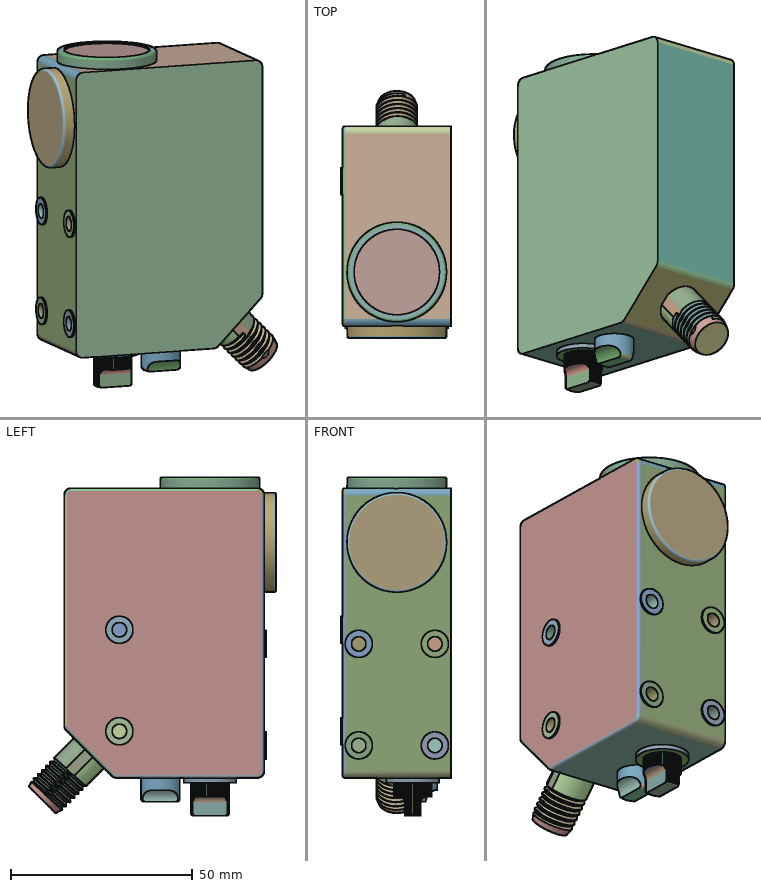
import cadquery as cq
WIDTH = 30.0
DEPTH = 55.25
HEIGHT = 80.0
REAR_CHAMFER = 13.7
PROFILE_FILLET = 2.0
SIDE_FILLET = 0.8

CAP_DIAMETER = 27.5
LENS_BARREL_HEIGHT = 3.0
COVER_CAP_HEIGHT = 3.25
CAP_FILLET = 0.65
CAP_SETBACK = 15.0
LENS_DIAMETER = 23.6
LENS_RECESS = 0.4

INSERT_DIAMETER = 7.5
INSERT_BORE = 4.0
INSERT_DEPTH = 8.0
INSERT_PROUD = 0.45
INSERT_ROW_PITCH = 28.0
FRONT_INSERT_PITCH = 21.0
FRONT_INSERT_BASE = 9.0
SIDE_INSERT_Y = 40.0
SIDE_INSERT_BASE = 12.9

CONNECTOR_DIAMETER = 11.8
CONNECTOR_LENGTH = 18.2
CONNECTOR_FLATS = 11.4
THREAD_START = 7.2
THREAD_LENGTH = 9.3
THREAD_PITCH = 1.6
THREAD_DEPTH = 0.75
THREAD_CREST = 0.25
TIP_DIAMETER = 10.5
TIP_TAPER = 2.2

SELECTOR_X = 5.8
SELECTOR_Y = 28.7
SELECTOR_DIAMETER = 10.8
SELECTOR_DRUM = 3.3
SELECTOR_HEIGHT = 6.6
SELECTOR_FILLET = 1.0
SELECTOR_GRIP = 4.4

KNOB_X = 4.4
KNOB_Y = 15.0
KNOB_DIAMETER = 10.6
KNOB_DRUM = 5.1
KNOB_HEIGHT = 10.42
KNOB_FILLET = 0.8
KNOB_GRIP = 4.4
KNOB_GRIP_RADIUS = 1.7
FLANGE_DIAMETER = 14.6
FLANGE_HEIGHT = 1.3
KNURL_COUNT = 36
KNURL_DEPTH = 0.2
KNURL_WIDTH = 0.46


def mounted(shape, origin, normal):
    """Move a shape built upwards from the XY plane so that its +Z axis follows the normal."""
    plane = cq.Plane(origin=origin, xDir=(1, 0, 0) if normal[0] == 0 else (0, 1, 0), normal=normal)
    return shape.val().moved(cq.Location(plane))


def make_round_cap(height):
    """Disc that starts inside the housing, so that it also fills the space over a rounded edge."""
    return (
        cq.Workplane("XY", origin=(0, 0, -PROFILE_FILLET))
        .circle(CAP_DIAMETER / 2)
        .extrude(PROFILE_FILLET + height)
        .faces(">Z")
        .edges()
        .fillet(CAP_FILLET)
    )


def insert_mounts():
    """Mouth centre and outward direction of every insert."""
    mounts = []
    for row in range(2):
        rise = row * INSERT_ROW_PITCH
        for side in (-1, 1):
            mounts.append(((side * FRONT_INSERT_PITCH / 2, 0, FRONT_INSERT_BASE + rise), (0, -1, 0)))
        mounts.append(((-WIDTH / 2, SIDE_INSERT_Y, SIDE_INSERT_BASE + rise), (-1, 0, 0)))
    return mounts


def make_housing():
    body = (
        cq.Workplane("YZ", origin=(-WIDTH / 2, 0, 0))
        .moveTo(0, 0)
        .lineTo(DEPTH - REAR_CHAMFER, 0)
        .lineTo(DEPTH, REAR_CHAMFER)
        .lineTo(DEPTH, HEIGHT)
        .lineTo(0, HEIGHT)
        .close()
        .extrude(WIDTH)
        .edges("|X")
        .fillet(PROFILE_FILLET)
        .faces("<X")
        .edges()
        .fillet(SIDE_FILLET)
    )
    lens_barrel = (
        make_round_cap(LENS_BARREL_HEIGHT)
        .faces(">Z")
        .workplane(origin=(0, 0, 0))
        .circle(LENS_DIAMETER / 2)
        .cutBlind(-LENS_RECESS)
    )
    cover_cap = make_round_cap(COVER_CAP_HEIGHT)
    body = body.union(mounted(lens_barrel, (0, CAP_SETBACK, HEIGHT), (0, 0, 1)))
    body = body.union(mounted(cover_cap, (0, 0, HEIGHT - CAP_SETBACK), (0, -1, 0)))
    pocket = cq.Workplane("XY").circle(INSERT_DIAMETER / 2).extrude(-INSERT_DEPTH)
    for origin, normal in insert_mounts():
        body = body.cut(mounted(pocket, origin, normal))
    return body


def make_insert(origin, normal):
    sleeve = (
        cq.Workplane("XY", origin=(0, 0, -INSERT_DEPTH))
        .circle(INSERT_DIAMETER / 2)
        .circle(INSERT_BORE / 2)
        .extrude(INSERT_DEPTH + INSERT_PROUD)
    )
    return mounted(sleeve, origin, normal)


def make_thread_groove():
    """Helical V-shaped cutter that runs from the plain neck almost to the tip."""
    radius = CONNECTOR_DIAMETER / 2
    half_mouth = (THREAD_PITCH - THREAD_CREST) / 2
    slope = half_mouth / THREAD_DEPTH
    clearance = 0.05
    helix = cq.Wire.makeHelix(THREAD_PITCH, THREAD_LENGTH, radius).moved(cq.Location((0, 0, THREAD_START)))
    outer = half_mouth + clearance * slope
    return (
        cq.Workplane("XZ")
        .moveTo(radius - THREAD_DEPTH, THREAD_START)
        .lineTo(radius + clearance, THREAD_START - outer)
        .lineTo(radius + clearance, THREAD_START + outer)
        .close()
        .sweep(cq.Workplane(obj=helix), isFrenet=True)
    )


def make_connector():
    radius = CONNECTOR_DIAMETER / 2
    rod = cq.Workplane("XY").circle(radius).extrude(CONNECTOR_LENGTH)
    clearance = 1.0
    taper_slope = (radius - TIP_DIAMETER / 2) / TIP_TAPER
    envelope = (
        cq.Workplane("XZ")
        .lineTo(radius + clearance, 0)
        .lineTo(radius + clearance, CONNECTOR_LENGTH - TIP_TAPER - clearance / taper_slope)
        .lineTo(TIP_DIAMETER / 2, CONNECTOR_LENGTH)
        .lineTo(0, CONNECTOR_LENGTH)
        .close()
        .revolve(360, (0, 0, 0), (0, 1, 0))
        .intersect(cq.Workplane("XY").box(CONNECTOR_FLATS, 2 * CONNECTOR_DIAMETER, 3 * CONNECTOR_LENGTH))
    )
    plug = rod.cut(make_thread_groove()).intersect(envelope)
    chamfer_middle = (0, DEPTH - REAR_CHAMFER / 2, REAR_CHAMFER / 2)
    return mounted(plug, chamfer_middle, (0, 1, -1))


def make_grip_cutter(half_thickness, drum, height, radius, reach):
    """Removes one flank of a grip, leaving a hollow curve between the drum and the flank."""
    below = 2 * height
    return (
        cq.Workplane("XZ", origin=(0, reach, 0))
        .moveTo(half_thickness + radius, -drum)
        .radiusArc((half_thickness, -drum - radius), -radius)
        .lineTo(half_thickness, -below)
        .lineTo(reach, -below)
        .lineTo(reach, -drum)
        .close()
        .extrude(2 * reach)
    )


def cut_grip(drum_body, cutter):
    return drum_body.cut(cutter).cut(cutter.mirror("YZ"))


def make_selector():
    radius = SELECTOR_DIAMETER / 2
    drum = (
        cq.Workplane("XY")
        .circle(radius)
        .extrude(-SELECTOR_HEIGHT)
        .faces("<Z")
        .edges()
        .fillet(SELECTOR_FILLET)
    )
    half_grip = SELECTOR_GRIP / 2
    hollow = SELECTOR_HEIGHT - SELECTOR_DRUM
    cutter = make_grip_cutter(half_grip, SELECTOR_DRUM, SELECTOR_HEIGHT, hollow, SELECTOR_DIAMETER)
    return cut_grip(drum, cutter).translate((SELECTOR_X, SELECTOR_Y, 0))


def make_knob():
    radius = KNOB_DIAMETER / 2
    drum = (
        cq.Workplane("XY")
        .circle(radius)
        .extrude(-KNOB_HEIGHT)
        .faces("<Z")
        .edges()
        .fillet(KNOB_FILLET)
    )
    groove = (
        cq.Workplane("XY")
        .polarArray(radius, 0, 360, KNURL_COUNT)
        .rect(2 * KNURL_DEPTH, KNURL_WIDTH)
        .extrude(-KNOB_HEIGHT)
    )
    drum = drum.cut(groove)
    cutter = make_grip_cutter(KNOB_GRIP / 2, KNOB_DRUM, KNOB_HEIGHT, KNOB_GRIP_RADIUS, KNOB_DIAMETER)
    flange = cq.Workplane("XY").circle(FLANGE_DIAMETER / 2).extrude(-FLANGE_HEIGHT)
    return cut_grip(drum, cutter).union(flange).translate((KNOB_X, KNOB_Y, 0))


housing = make_housing()
inserts = [make_insert(origin, normal) for origin, normal in insert_mounts()]
connector = make_connector()
selector = make_selector()
knob = make_knob()

result = cq.Compound.makeCompound([housing.val(), *inserts, connector, selector.val(), knob.val()])